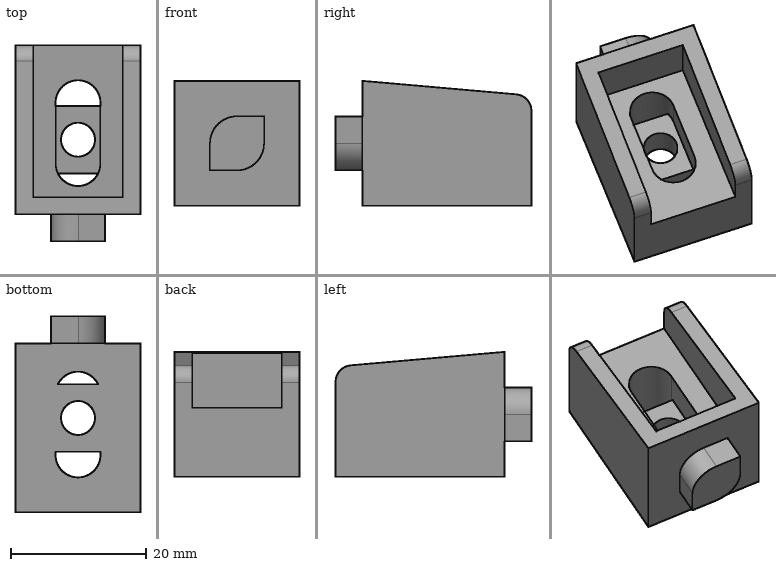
import cadquery as cq
import math

width = 18.5
front_height = 18.5
body_length = 25.0
top_slope = 5.0
back_radius = 2.5

side_wall = 2.6
front_wall = 2.5
floor_height = 10.25

slot_width = 6.6
slot_start = 4.2
slot_length = 15.6
bridge_start = 6.03
bridge_length = 10.0
bridge_height = floor_height / 2
hole_diameter = 5.0

peg_size = 8.0
peg_length = 4.0
peg_radius = peg_size / 2


def make_body():
    back_height = front_height - body_length * math.tan(math.radians(top_slope))
    profile = [(0, 0), (body_length, 0), (body_length, back_height), (0, front_height)]
    body = cq.Workplane("YZ").polyline(profile).close().extrude(width / 2, both=True)
    return body.edges("|X").edges(">Y").edges(">Z").fillet(back_radius)


def make_pocket():
    return cq.Workplane("XY").box(
        width - 2 * side_wall, body_length - front_wall, front_height, centered=(True, False, False)
    ).translate((0, front_wall, floor_height))


def make_slot():
    slot_center = slot_start + slot_length / 2
    return (
        cq.Workplane("XY")
        .center(0, slot_center)
        .slot2D(slot_length, slot_width, 90)
        .extrude(floor_height)
    )


def make_bridge():
    block = (
        cq.Workplane("XY")
        .box(slot_width, bridge_length, bridge_height, centered=(True, False, False))
        .translate((0, bridge_start, 0))
    )
    block = block.intersect(make_slot())
    hole = (
        cq.Workplane("XY")
        .center(0, bridge_start + bridge_length / 2)
        .circle(hole_diameter / 2)
        .extrude(bridge_height)
    )
    return block.cut(hole)


def make_peg():
    peg = (
        cq.Workplane("XZ")
        .center(0, front_height / 2)
        .rect(peg_size, peg_size)
        .extrude(peg_length)
    )
    rounded = peg.edges("|Y").edges("(<X and >Z) or (>X and <Z)")
    return rounded.fillet(peg_radius)


slotted_body = make_body().cut(make_pocket()).cut(make_slot())
result = slotted_body.union(make_bridge()).union(make_peg())